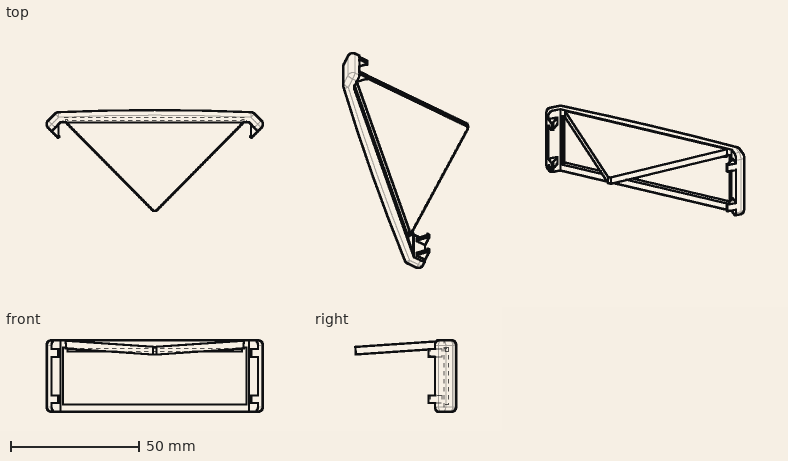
import cadquery as cq
import math

height = 28.0
wall = 4.0
crown = 4.8
edge_radius = 2.0
bend_x = 36.7
wing_angle = 45
wing_length = 5.0

hook_x = 37.5
hook_lip_x = 37.05
hook_tip_x = 37.7
hook_lip_rise = 0.4
hook_bottom = 7.5
hook_height = 3.0

pocket_half_width = 35.7
pocket_height = 22.1
pocket_depth = 1.85
block_half_width = 33.9
block_bottom = 9.5
block_setback = 0.7

shelf_half_width = 34.8
shelf_reach = 34.6
shelf_tip_width = 1.2
shelf_thickness = 3.0
shelf_top = 13.8
shelf_slope = 3.9
shelf_root = 0.85

diagonal = math.cos(math.radians(wing_angle))
wing_run = wing_length * diagonal
wing_offset = wall * diagonal
outer_bend_x = bend_x + wall * math.tan(math.radians(wing_angle / 2))
inner_end = (bend_x + wing_run, -wing_run)
outer_end = (inner_end[0] + wing_offset, inner_end[1] + wing_offset)


def make_plate():
    """Bowed plate with angled wings and a rounded outer face."""
    plate = (
        cq.Workplane("XY", origin=(0, 0, -height / 2))
        .moveTo(-bend_x, 0)
        .lineTo(bend_x, 0)
        .lineTo(*inner_end)
        .lineTo(*outer_end)
        .lineTo(outer_bend_x, wall)
        .threePointArc((0, crown), (-outer_bend_x, wall))
        .lineTo(-outer_end[0], outer_end[1])
        .lineTo(-inner_end[0], inner_end[1])
        .close()
        .extrude(height)
    )
    for side in (-1, 1):
        plate = plate.edges(cq.selectors.ParallelDirSelector(cq.Vector(side, 1, 0)))
        plate = plate.edges(">X" if side > 0 else "<X").fillet(edge_radius)
    margin = 0.1
    bends = cq.selectors.BoxSelector(
        (-outer_bend_x - margin, wall - margin, -height), (outer_bend_x + margin, wall + margin, height)
    )
    plate = plate.edges("|Z").edges(bends).fillet(edge_radius)
    return plate.faces(">Y").edges(">Z or <Z").fillet(edge_radius)


def make_hook(side, bottom):
    """Hook continuing the end face of one wing, with a small lip at its tip."""
    end_offset = inner_end[0] - inner_end[1]
    tip_y = hook_tip_x - end_offset
    lip_y = tip_y + hook_lip_rise
    root = edge_radius * diagonal / 2
    outline = [
        inner_end,
        (hook_tip_x, tip_y),
        (hook_lip_x, lip_y),
        (hook_x, lip_y + hook_lip_rise),
        (hook_x, bend_x - hook_x),
        (hook_x + root, bend_x - hook_x + root),
        (inner_end[0] + root, inner_end[1] + root),
    ]
    points = [(side * x, y) for x, y in outline]
    return cq.Workplane("XY", origin=(0, 0, bottom)).polyline(points).close().extrude(hook_height)


def make_pocket():
    """Shallow rectangular recess, less the block left along its top edge."""
    pocket = cq.Workplane("XY").box(
        2 * pocket_half_width, pocket_depth, pocket_height, centered=(True, False, True)
    )
    block_height = pocket_height / 2 - block_bottom
    block = cq.Workplane("XY", origin=(0, block_setback, block_bottom)).box(
        2 * block_half_width, pocket_depth - block_setback, block_height, centered=(True, False, False)
    )
    return pocket.cut(block)


def make_shelf():
    """Blunt triangle tilted down about the top of the inner face."""
    slope = math.radians(shelf_slope)
    length = shelf_reach / math.cos(slope)
    half_tip = shelf_tip_width / 2
    return (
        cq.Workplane("XY")
        .polyline([
            (-shelf_half_width, shelf_root),
            (-shelf_half_width, 0),
            (-half_tip, -length),
            (half_tip, -length),
            (shelf_half_width, 0),
            (shelf_half_width, shelf_root),
        ])
        .close()
        .extrude(-shelf_thickness)
        .rotate((0, 0, 0), (1, 0, 0), shelf_slope)
        .translate((0, 0, shelf_top))
    )


result = make_plate().cut(make_pocket()).union(make_shelf())
for side in (-1, 1):
    for bottom in (hook_bottom, -hook_bottom - hook_height):
        result = result.union(make_hook(side, bottom))